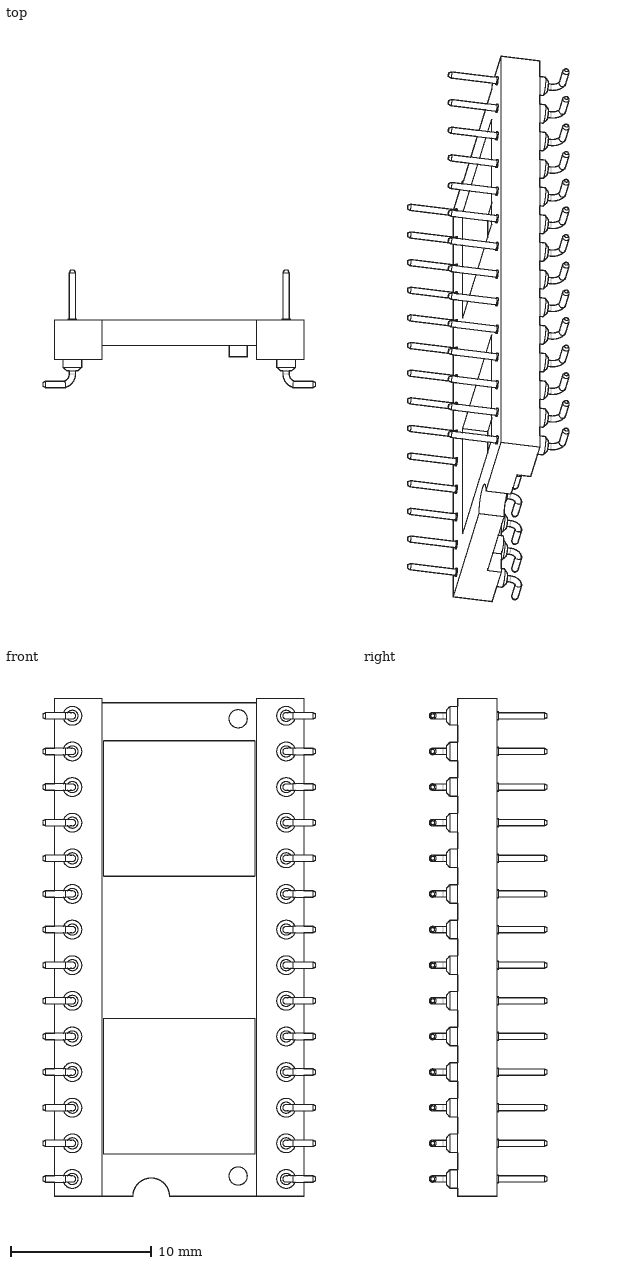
import cadquery as cq
import math

rail_length = 35.5
rail_depth = 2.83
overall_width = 19.44
body_width = 17.8
rail_gap = 11.0
rail_width = (body_width - rail_gap) / 2
rail_center_x = (rail_gap + rail_width) / 2

web_depth = 1.83
web_top_setback = 0.3
window_width = 10.8
window_height = 9.65
plate_height = 10.15
window_center_z = (plate_height + window_height) / 2

notch_radius = 1.3
notch_x = -2.0

peg_diameter = 1.3
peg_length = 0.8
peg_x = 4.2
peg_z = 16.3

pin_count = 14
pin_pitch = 2.54
row_half_spacing = 7.62
wire_radius = 0.23
tail_length = 3.56
tip_taper = 0.1
tip_length = 0.2
shoulder_radius = 0.3
shoulder_length = 0.08

collar_radius = 0.67
collar_length = 0.55
cone_tip_radius = 0.4
cone_length = 0.25

foot_radius = 0.24
foot_reach = overall_width / 2
foot_drop = 2.01
bend_radius = 0.77
bend_angle = math.radians(74)
foot_overlap = 0.05

rail_front_y = -rail_depth
foot_axis_y = rail_front_y - foot_drop + foot_radius


def cylinder_along_y(x, z, y_start, y_end, radius):
    """Cylinder parallel to Y running from y_start forward (towards -Y) to y_end."""
    base = cq.Vector(x, y_start, z)
    return cq.Workplane(cq.Solid.makeCylinder(radius, y_start - y_end, base, cq.Vector(0, -1, 0)))


def make_rail(side):
    rail = cq.Workplane().box(rail_width, rail_depth, rail_length)
    return rail.translate((side * rail_center_x, -rail_depth / 2, 0))


def make_web():
    """Cross members as one slab with two windows and an index notch in its lower edge."""
    web_height = rail_length - web_top_setback
    web = cq.Workplane().box(rail_gap, web_depth, web_height)
    web = web.translate((0, -web_depth / 2, -web_top_setback / 2))
    for side in (-1, 1):
        window = cq.Workplane().box(window_width, 2 * web_depth, window_height)
        web = web.cut(window.translate((0, -web_depth / 2, side * window_center_z)))
    notch = cylinder_along_y(notch_x, -rail_length / 2, web_depth, -2 * web_depth, notch_radius)
    web = web.cut(notch)
    for side in (-1, 1):
        web = web.union(cylinder_along_y(peg_x, side * peg_z, 0, -web_depth - peg_length, peg_diameter / 2))
    return web


def make_pin():
    """Right-hand pin at Z = 0: straight tail behind, stepped collar and bent foot in front."""
    collar_front_y = rail_front_y - collar_length
    cone_front_y = collar_front_y - cone_length
    turned_body = (
        cq.Workplane()
        .moveTo(0, tail_length)
        .lineTo(wire_radius - tip_taper, tail_length)
        .lineTo(wire_radius, tail_length - tip_length)
        .lineTo(wire_radius, shoulder_length)
        .lineTo(shoulder_radius, shoulder_length)
        .lineTo(shoulder_radius, rail_front_y)
        .lineTo(collar_radius, rail_front_y)
        .lineTo(collar_radius, collar_front_y)
        .lineTo(cone_tip_radius, cone_front_y)
        .lineTo(0, cone_front_y)
        .close()
        .revolve(360, (0, 0, 0), (0, 1, 0))
        .translate((row_half_spacing, 0, 0))
    )

    bend_start_y = foot_axis_y + bend_radius * math.sin(bend_angle)

    def bend_point(angle):
        x = row_half_spacing + bend_radius * (1 - math.cos(angle))
        return (x, bend_start_y - bend_radius * math.sin(angle))

    bend_end = bend_point(bend_angle)
    bend_path = (
        cq.Workplane()
        .moveTo(row_half_spacing, collar_front_y)
        .lineTo(row_half_spacing, bend_start_y)
        .threePointArc(bend_point(bend_angle / 2), bend_end)
    )
    wire = (
        cq.Workplane("XZ", origin=(row_half_spacing, collar_front_y, 0))
        .circle(wire_radius)
        .sweep(bend_path)
    )
    foot_start_x = bend_end[0] - foot_overlap
    foot = (
        cq.Workplane("YZ", origin=(foot_start_x, foot_axis_y, 0))
        .circle(foot_radius)
        .extrude(foot_reach - foot_start_x)
        .faces(">X")
        .chamfer(tip_length, tip_taper)
    )
    return turned_body.union(wire).union(foot)


result = make_web()
for side in (-1, 1):
    result = result.union(make_rail(side))

right_pin = make_pin()
left_pin = right_pin.mirror("YZ")
for index in range(pin_count):
    pin_z = (index - (pin_count - 1) / 2) * pin_pitch
    for pin in (left_pin, right_pin):
        result = result.union(pin.translate((0, 0, pin_z)))